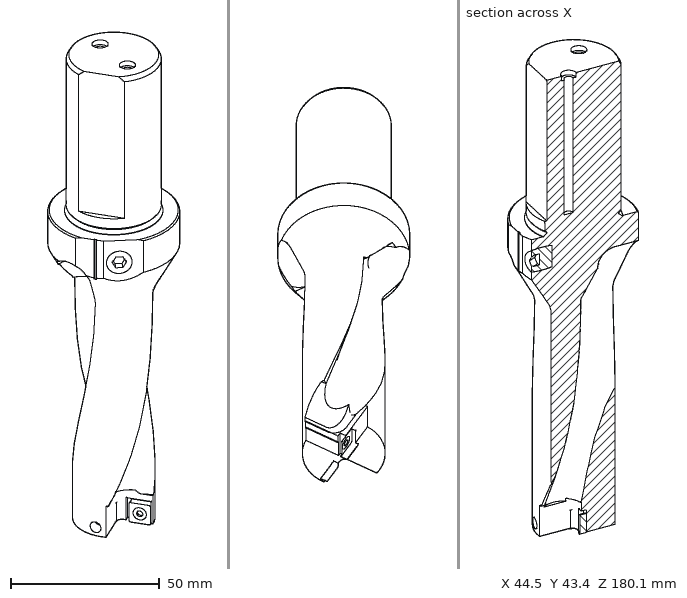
import cadquery as cq
import math

total_length = 180.1
flange_top_z = 119.8
flange_bottom_z = 107.0
cone_bottom_z = 92.4
neck_bottom_z = 90.5
body_bottom_z = 0.5

shank_radius = 32.0 / 2
shank_bottom_z = 121.8
shank_chamfer_width = 0.9
shank_chamfer_height = 1.6
shank_flat_y = -13.9
shank_flat_bottom_z = 125.5
undercut_depth = 0.9
undercut_outer_radius = 16.5
undercut_floor_z = 120.9
undercut_bottom_z = 119.6

flange_radius = 44.5 / 2
flange_depth_y = 43.4
front_flat_y = flange_radius - flange_depth_y
flange_chamfer = 0.5
plug_flat_angle = -67.5
plug_flat_distance = 20.7
mark_width = 0.7
mark_depth = 0.4

drill_radius = 28.0 / 2
cone_small_radius = 14.4
flute_radius = 7.0
flute_lip_x = -12.5
flute_side_x = -2.2
flute_corner_y = -5.8
cutter_reach = 19.8
flute_top_z = 91.5
flute_bottom_z = 11.5
flute_twist = 80.0
flute_twist_power = 1.9
flute_sections = 13
runout_height = 10.3
runout_lean = 32.0
runout_flare = 120.0

relief_x = 2.3
relief_y = 0.5
relief_corner_radius = 5.0
relief_wall_top_z = 13.9
relief_slope_x = -6.3
relief_top_z = 24.7

outer_gullet_x = 1.6
outer_gullet_y = -0.5
outer_gullet_top_z = 12.6
gullet_corner_radius = 2.2
inner_gullet_x = 0.5
inner_gullet_y = -1.0
inner_upper_x = 2.0
inner_lower_x = 1.6
inner_wide_y = 1.0
inner_step_z = 7.7

insert_size = 7.5
insert_thickness = 2.5
insert_corner_radius = 0.5
outer_insert_clearance = 1.3
inner_insert_clearance = 0.0
outer_insert_x = 9.5
outer_insert_z = 4.1
outer_insert_face_y = -1.3
inner_insert_x = -2.2
inner_insert_z = insert_size / 2
inner_insert_face_y = 0.4
screw_head_radius = 2.3
screw_head_height = 1.0
screw_radius = 1.6
screw_length = 9.0
screw_access_radius = 2.0
screw_socket_radius = 1.0
screw_socket_depth = 0.9

plug_radius = 4.3
plug_length = 7.2
plug_z = 111.3
plug_socket_width = 4.1
plug_socket_depth = 2.9

coolant_x = 6.5
coolant_y = -5.4
coolant_radius = 1.6
coolant_depth = 54.0
coolant_mouth_radius = 2.7
coolant_mouth_depth = 1.8


def box_between(x0, x1, y0, y1, z0, z1):
    return cq.Workplane("XY").box(x1 - x0, y1 - y0, z1 - z0, centered=False).translate((x0, y0, z0))


def half_turn(shape):
    return shape.rotate((0, 0, 0), (0, 0, 1), 180)


def turned_blank():
    outline = [
        (0, body_bottom_z),
        (drill_radius, body_bottom_z),
        (drill_radius, neck_bottom_z),
        (cone_small_radius, cone_bottom_z),
        (flange_radius, flange_bottom_z),
        (flange_radius, flange_top_z - flange_chamfer),
        (flange_radius - flange_chamfer, flange_top_z),
        (undercut_outer_radius, flange_top_z),
        (undercut_outer_radius, undercut_bottom_z),
        (shank_radius - undercut_depth, undercut_floor_z),
        (shank_radius, shank_bottom_z),
        (shank_radius, total_length - shank_chamfer_height),
        (shank_radius - shank_chamfer_width, total_length),
        (0, total_length),
    ]
    return cq.Workplane("XZ").polyline(outline).close().revolve(360, (0, 0, 0), (0, 1, 0))


def shank_flat():
    return box_between(
        -shank_radius, shank_radius, -shank_radius, shank_flat_y, shank_flat_bottom_z, total_length
    )


def front_flat():
    return box_between(
        -flange_radius, flange_radius, -flange_radius, front_flat_y, cone_bottom_z, flange_top_z
    )


def plug_flat():
    cutter = box_between(
        plug_flat_distance, flange_radius, -flange_radius, flange_radius, cone_bottom_z, flange_top_z
    )
    return cutter.rotate((0, 0, 0), (0, 0, 1), plug_flat_angle)


def marking_groove():
    half_width = mark_width / 2
    return box_between(
        -half_width, half_width, front_flat_y, front_flat_y + mark_depth, cone_bottom_z, flange_top_z
    )


def coolant_hole():
    hole = cq.Workplane("XY").circle(coolant_radius).extrude(-coolant_depth)
    mouth = cq.Workplane("XY").circle(coolant_mouth_radius).extrude(-coolant_mouth_depth)
    return hole.union(mouth).translate((coolant_x, coolant_y, total_length))


flute_corner_x = flute_side_x - flute_radius
lip_y = flute_corner_y + math.sqrt(flute_radius**2 - (flute_lip_x - flute_corner_x) ** 2)


def flute_profile(end_point, outer_point):
    """Straight side and rounded corner, closed along a straight line to the outside."""
    diagonal = flute_radius * math.sqrt(0.5)
    return (
        cq.Workplane("XY")
        .moveTo(flute_side_x, -cutter_reach)
        .lineTo(flute_side_x, flute_corner_y)
        .threePointArc((flute_corner_x + diagonal, flute_corner_y + diagonal), end_point)
        .lineTo(*outer_point)
        .lineTo(-cutter_reach, -cutter_reach)
        .close()
        .val()
    )


def helix_profile():
    return flute_profile((flute_lip_x, lip_y), (-cutter_reach, lip_y))


def runout_profile():
    """The corner runs on into a straight tangent flank."""
    flare = math.radians(runout_flare)
    end_x = flute_corner_x + flute_radius * math.cos(flare)
    end_y = flute_corner_y + flute_radius * math.sin(flare)
    outer_y = end_y + (cutter_reach + end_x) / math.tan(flare)
    return flute_profile((end_x, end_y), (-cutter_reach, outer_y))


def twisted_flute():
    """The flute section turns ever faster towards the tip."""
    sections = []
    for index in range(flute_sections):
        fraction = index / (flute_sections - 1)
        z = flute_top_z - fraction * (flute_top_z - flute_bottom_z)
        turn = -flute_twist * fraction**flute_twist_power
        section = helix_profile().rotate(cq.Vector(0, 0, 0), cq.Vector(0, 0, 1), turn)
        sections.append(section.translate(cq.Vector(0, 0, z)))
    return cq.Workplane("XY").newObject([cq.Solid.makeLoft(sections)])


def flute_runout():
    """The flute leaves the cone outwards and ends in a round-nosed slot."""
    shift_y = -runout_height * math.tan(math.radians(runout_lean))
    lean = cq.Vector(0, shift_y, runout_height)
    channel = cq.Solid.extrudeLinear(runout_profile(), [], lean)
    channel = cq.Workplane("XY").newObject([channel]).translate((0, 0, flute_top_z))
    end_y = flute_corner_y + shift_y
    nose = cq.Workplane("XY").sphere(flute_radius)
    slot = cq.Workplane("XZ").circle(flute_radius).extrude(flange_radius)
    end = nose.union(slot).translate((flute_corner_x, end_y, flute_top_z + runout_height))
    return channel.union(end)


def outer_gullet():
    cutter = box_between(
        outer_gullet_x, cutter_reach, -cutter_reach, outer_gullet_y, 0, outer_gullet_top_z
    )
    return cutter.edges("|Z and <X and >Y").fillet(gullet_corner_radius)


def inner_relief():
    """Recess above the inner gullet, with a ceiling that rises towards the flute."""
    outline = [
        (-cutter_reach, flute_bottom_z),
        (relief_x, flute_bottom_z),
        (relief_x, relief_wall_top_z),
        (relief_slope_x, relief_top_z),
        (-cutter_reach, relief_top_z),
    ]
    relief = cq.Workplane("XZ").polyline(outline).close().extrude(-cutter_reach)
    relief = relief.translate((0, relief_y, 0))
    return relief.edges("|Z and >X and <Y").fillet(relief_corner_radius)


def inner_gullet():
    """Narrow along the web between the inserts, wider behind it, with a step in the wall."""
    narrow = box_between(-cutter_reach, inner_gullet_x, inner_gullet_y, cutter_reach, 0, flute_bottom_z)
    lower = box_between(-cutter_reach, inner_lower_x, inner_wide_y, cutter_reach, 0, inner_step_z)
    upper = box_between(
        -cutter_reach, inner_upper_x, inner_wide_y, cutter_reach, inner_step_z, flute_bottom_z
    )
    return narrow.union(lower).union(upper)


def screw_blank():
    head = cq.Workplane("XZ").circle(screw_head_radius).extrude(-screw_head_height)
    thread = cq.Workplane("XZ").circle(screw_radius).extrude(-screw_length)
    return head.union(thread)


def make_insert():
    blank = cq.Workplane("XZ").rect(insert_size, insert_size).extrude(-insert_thickness)
    return blank.edges("|Y").fillet(insert_corner_radius).cut(screw_blank())


def make_screw():
    socket = cq.Workplane("XZ").circle(screw_socket_radius).extrude(-screw_socket_depth)
    return screw_blank().cut(socket)


def at_outer_seat(shape):
    return shape.translate((outer_insert_x, outer_insert_face_y, outer_insert_z))


def at_inner_seat(shape):
    return half_turn(shape).translate((inner_insert_x, inner_insert_face_y, inner_insert_z))


def insert_pocket(clearance):
    """Insert outline with clearance at the top and one side, open at the tip."""
    half = insert_size / 2
    return box_between(
        -half - clearance, half, 0, insert_thickness, -insert_size, half + clearance
    ).union(screw_blank())


def inner_screw_access():
    hole = cq.Workplane("XZ").circle(screw_access_radius).extrude(drill_radius)
    return hole.translate((inner_insert_x, inner_insert_face_y - screw_length, inner_insert_z))


def plug_blank():
    return cq.Workplane("YZ").circle(plug_radius).extrude(-plug_length)


def at_plug_seat(shape):
    moved = shape.translate((plug_flat_distance, 0, plug_z))
    return moved.rotate((0, 0, 0), (0, 0, 1), plug_flat_angle)


def make_plug():
    corner_diameter = plug_socket_width / math.cos(math.pi / 6)
    socket = cq.Workplane("YZ").polygon(6, corner_diameter).extrude(-plug_socket_depth)
    return at_plug_seat(plug_blank().cut(socket))


def make_drill_body():
    body = turned_blank().cut(shank_flat())
    body = body.cut(front_flat()).cut(plug_flat()).cut(marking_groove())
    body = body.cut(coolant_hole()).cut(half_turn(coolant_hole()))
    for flute in (twisted_flute(), flute_runout()):
        body = body.cut(flute).cut(half_turn(flute))
    body = body.cut(outer_gullet()).cut(inner_gullet())
    body = body.cut(inner_relief())
    body = body.cut(at_outer_seat(insert_pocket(outer_insert_clearance)))
    body = body.cut(at_inner_seat(insert_pocket(inner_insert_clearance)))
    body = body.cut(inner_screw_access())
    return body.cut(at_plug_seat(plug_blank()))


drill_body = make_drill_body()
inserts = []
screws = []
for at_seat in (at_outer_seat, at_inner_seat):
    inserts.append(at_seat(make_insert()).val())
    screws.append(at_seat(make_screw()).val())
plug = make_plug()

result = cq.Compound.makeCompound([drill_body.val(), *inserts, *screws, plug.val()])